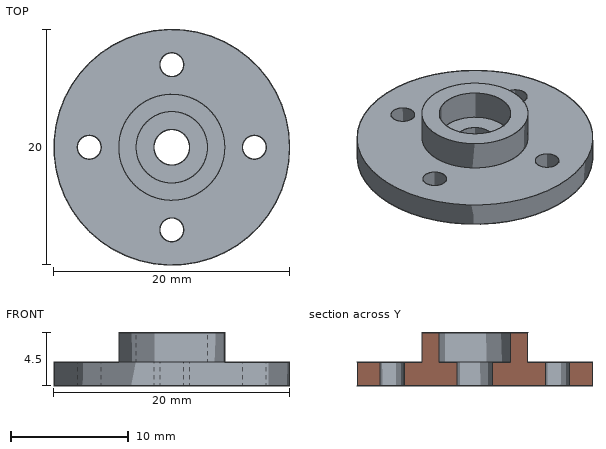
import cadquery as cq

flange_diameter = 20.0
flange_thickness = 2.0

hub_diameter = 9.0
hub_height = 2.5
recess_diameter = 6.05
recess_depth = hub_height
bore_diameter = 3.0

mount_hole_count = 4
mount_hole_diameter = 2.0
mount_circle_diameter = 14.0

flange = cq.Workplane("XY").circle(flange_diameter / 2).extrude(flange_thickness)

flange_with_hub = flange.faces(">Z").workplane().circle(hub_diameter / 2).extrude(hub_height)

bored_body = (
    flange_with_hub.faces(">Z")
    .workplane()
    .cboreHole(bore_diameter, recess_diameter, recess_depth)
)

mount_holes = (
    cq.Workplane("XY")
    .polarArray(mount_circle_diameter / 2, 0, 360, mount_hole_count)
    .circle(mount_hole_diameter / 2)
    .extrude(flange_thickness)
)

result = bored_body.cut(mount_holes)